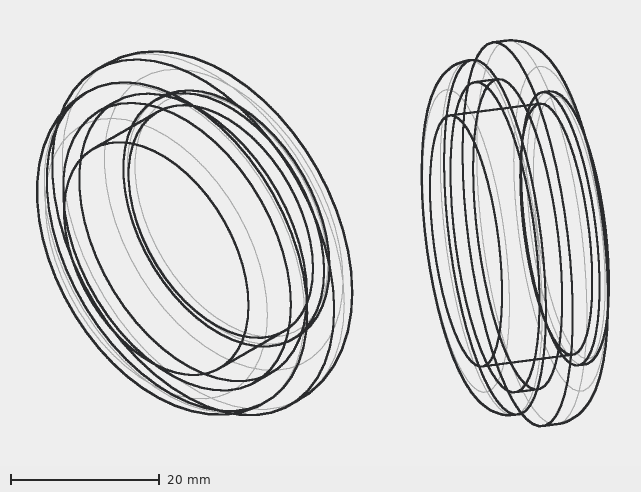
import cadquery as cq

rear_flange_radius = 26.0
front_flange_radius = 24.0
groove_radius = 21.0
boss_radius = 18.5
bore_radius = 17.0

front_flange_width = 4.05
groove_width = 3.15
rear_flange_width = 6.0
boss_height = 1.5
floor_thickness = 2.1

front_rounding = 3.55
rear_rounding = 4.0
boss_rounding = 0.75

total_depth = front_flange_width + groove_width + rear_flange_width + boss_height
front_y = -total_depth / 2
groove_y = front_y + front_flange_width
rear_flange_y = groove_y + groove_width
boss_y = rear_flange_y + rear_flange_width


def disc(radius, start_y, length):
    """Solid disc on the Y axis, extending toward +Y from start_y."""
    plane = cq.Plane(origin=(0, start_y, 0), xDir=(1, 0, 0), normal=(0, 1, 0))
    return cq.Workplane(plane).circle(radius).extrude(length)


front_flange = disc(front_flange_radius, front_y, front_flange_width)
front_flange = front_flange.faces("<Y").edges().fillet(front_rounding)

groove_core = disc(groove_radius, groove_y, groove_width)

rear_flange = disc(rear_flange_radius, rear_flange_y, rear_flange_width)
rear_flange = rear_flange.faces(">Y").edges().fillet(rear_rounding)

boss = disc(boss_radius, boss_y, boss_height)
boss = boss.faces(">Y").edges().fillet(boss_rounding)

bore = disc(bore_radius, front_y, total_depth - floor_thickness)

result = front_flange.union(groove_core).union(rear_flange).union(boss).cut(bore)